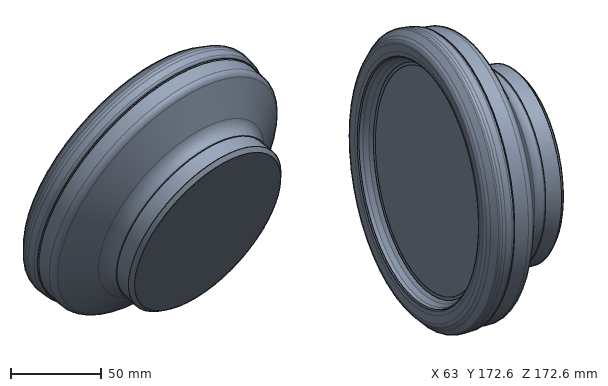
import cadquery as cq
import math


SEAT_X = 17.0
FACE_X = 8.8
FACE_RADIUS = 65.3

LENGTH = 63.0
RIM_RADIUS = 168.5 / 2
NECK_RADIUS = 113.5 / 2
SPIGOT_RADIUS = 114 / 2
RIM_END = 25.5
CONE_ANGLE = math.radians(60)
RIM_FILLET = 4.8
NECK_FILLET = 10.2
SPIGOT_START = 50.8
SPIGOT_CHAMFER = 2.5

NOSE_RADIUS = 78.7
NOSE_ROUND = 3.5
BEVEL_BEND = (2.6, 82.7)
BEVEL_END = (5.9, 85.8)
SHOULDER_MID = (6.2, 86.0)
SHOULDER_END = (6.7, 86.1)
BAND_RADIUS = 86.3
BAND_START = 8.3
BAND_END = 10.4
TAPER_END = (14.5, 85.8)
BACK_EDGE_MID = (15.7, 85.5)
BACK_EDGE = (16.2, 84.6)

FRONT_BEND = (0.5, 74.2)
FRONT_INNER = (0.9, 71.6)
LIP_START = (1.5, 71.0)
LIP_MID = (2.5, 70.6)
WALL_START = (3.6, 70.3)
WALL_BEND = (6.5, 68.7)
WALL_END = (8.5, 67.0)
COVE_MID = (8.6, 66.3)


def revolved(profile):
    """Close a profile of (x, radius) points and revolve it about the X axis."""
    return profile.close().revolve(360, (0, 0, 0), (1, 0, 0))


def arc_point(center, radius, angle):
    """Point on an arc, with the angle measured from +X toward larger radius."""
    return (center[0] + radius * math.cos(angle), center[1] + radius * math.sin(angle))


def make_housing():
    """Solid flared housing, with a plug that fills the opening of the bezel."""
    upright = math.pi / 2

    rim_center = (RIM_END, RIM_RADIUS - RIM_FILLET)
    rim_mid = arc_point(rim_center, RIM_FILLET, upright - CONE_ANGLE / 2)
    cone_start = arc_point(rim_center, RIM_FILLET, upright - CONE_ANGLE)

    neck_center_radius = NECK_RADIUS + NECK_FILLET
    cone_end_radius = neck_center_radius - NECK_FILLET * math.cos(CONE_ANGLE)
    cone_end_x = cone_start[0] + (cone_start[1] - cone_end_radius) / math.tan(CONE_ANGLE)
    neck_center = (cone_end_x + NECK_FILLET * math.sin(CONE_ANGLE), neck_center_radius)
    neck_mid = arc_point(neck_center, NECK_FILLET, -upright - CONE_ANGLE / 2)
    neck_start = arc_point(neck_center, NECK_FILLET, -upright)

    return revolved(
        cq.Workplane("XY")
        .moveTo(FACE_X, 0)
        .lineTo(FACE_X, FACE_RADIUS)
        .lineTo(SEAT_X, FACE_RADIUS)
        .lineTo(SEAT_X, RIM_RADIUS)
        .lineTo(RIM_END, RIM_RADIUS)
        .threePointArc(rim_mid, cone_start)
        .lineTo(cone_end_x, cone_end_radius)
        .threePointArc(neck_mid, neck_start)
        .lineTo(SPIGOT_START, NECK_RADIUS)
        .lineTo(SPIGOT_START, SPIGOT_RADIUS)
        .lineTo(LENGTH - SPIGOT_CHAMFER, SPIGOT_RADIUS)
        .lineTo(LENGTH, SPIGOT_RADIUS - SPIGOT_CHAMFER)
        .lineTo(LENGTH, 0)
    )


def make_bezel():
    """Ring that surrounds the plug and seats against the housing rim."""
    nose_center = (NOSE_ROUND, NOSE_RADIUS)
    bevel_start = arc_point(nose_center, NOSE_ROUND, math.radians(135))
    nose_mid = arc_point(nose_center, NOSE_ROUND, math.radians(157.5))

    return revolved(
        cq.Workplane("XY")
        .moveTo(SEAT_X, FACE_RADIUS)
        .lineTo(FACE_X, FACE_RADIUS)
        .threePointArc(COVE_MID, WALL_END)
        .lineTo(*WALL_BEND)
        .lineTo(*WALL_START)
        .threePointArc(LIP_MID, LIP_START)
        .lineTo(*FRONT_INNER)
        .lineTo(*FRONT_BEND)
        .lineTo(0, NOSE_RADIUS)
        .threePointArc(nose_mid, bevel_start)
        .lineTo(*BEVEL_BEND)
        .lineTo(*BEVEL_END)
        .threePointArc(SHOULDER_MID, SHOULDER_END)
        .lineTo(BAND_START, BAND_RADIUS)
        .lineTo(BAND_END, BAND_RADIUS)
        .lineTo(*TAPER_END)
        .threePointArc(BACK_EDGE_MID, BACK_EDGE)
        .lineTo(SEAT_X, RIM_RADIUS)
    )


housing = make_housing()
bezel = make_bezel()
result = cq.Compound.makeCompound([housing.val(), bezel.val()])